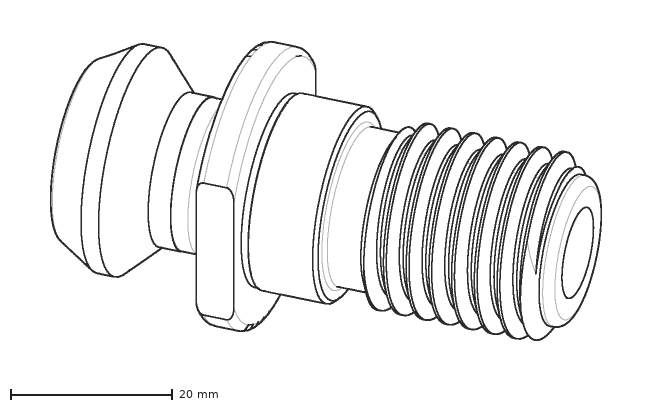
import cadquery as cq
import math

TOTAL_LENGTH = 65.5

HEAD_RADIUS = 14.55
HEAD_FACE_RADIUS = 11.5
HEAD_LEAD_ANGLE = 30.0
HEAD_RIM_ROUND = 0.8
HEAD_LEAD_END = (HEAD_RADIUS - HEAD_FACE_RADIUS) / math.tan(math.radians(HEAD_LEAD_ANGLE))
HEAD_BACK_START = 7.5
HEAD_BACK_END = 12.4

NECK_RADIUS = 9.8
NECK_RELIEF_RADIUS = 9.75
NECK_RELIEF_START = 15.3

FLANGE_START = 20.55
FLANGE_WIDTH = 5.0
FLANGE_END = FLANGE_START + FLANGE_WIDTH
FLANGE_RADIUS = 18.0
FLANGE_ROUND = 1.0
ACROSS_FLATS = 30.0
NECK_FILLET = 3.0

PILOT_RADIUS = 12.5
PILOT_UNDERCUT_RADIUS = 12.3
PILOT_START = 26.5
PILOT_END = 35.55
PILOT_CHAMFER = 0.5

MAJOR_RADIUS = 12.0
PITCHES_PER_DIAMETER = 8
PITCH = 2 * MAJOR_RADIUS / PITCHES_PER_DIAMETER
MINOR_RADIUS = 10.15
RELIEF_FILLET = 0.5
THREAD_START = 40.55
THREAD_START_ANGLE = 60.0
THREAD_END_ANGLE = 56.0
CREST_FLAT = PITCH / 8
FLANK_ANGLE = 30.0
CREST_AT_BOTTOM = 39.2
RIDGE_OVERLAP = 0.2

TIP_RADIUS = 9.6
TIP_START = 63.85
TIP_ROUND = 1.2

BORE_RADIUS = 5.75
BORE_CHAMFER = 1.0


def disc(start, end, radius):
    return cq.Workplane("YZ", origin=(start, 0, 0)).circle(radius).extrude(end - start)


def turned(points):
    """Solid of revolution about X from (x, radius) points; the axis closes it."""
    return cq.Workplane("XY").polyline(points).close().revolve(360, (0, 0, 0), (1, 0, 0))


def make_head():
    head = turned([
        (0, 0),
        (0, HEAD_FACE_RADIUS),
        (HEAD_LEAD_END, HEAD_RADIUS),
        (HEAD_BACK_START, HEAD_RADIUS),
        (HEAD_BACK_END, NECK_RADIUS),
        (HEAD_BACK_END, 0),
    ])
    return head.faces("<X").edges().fillet(HEAD_RIM_ROUND)


def make_neck():
    fillet_start = FLANGE_START - NECK_FILLET
    fillet_top = NECK_RELIEF_RADIUS + NECK_FILLET
    arc_offset = NECK_FILLET * math.sqrt(0.5)
    arc_middle = (fillet_start + arc_offset, fillet_top - arc_offset)
    return (
        cq.Workplane("XY")
        .moveTo(HEAD_BACK_END, 0)
        .lineTo(HEAD_BACK_END, NECK_RADIUS)
        .lineTo(NECK_RELIEF_START, NECK_RADIUS)
        .lineTo(NECK_RELIEF_START, NECK_RELIEF_RADIUS)
        .lineTo(fillet_start, NECK_RELIEF_RADIUS)
        .threePointArc(arc_middle, (FLANGE_START, fillet_top))
        .lineTo(FLANGE_START, 0)
        .close()
        .revolve(360, (0, 0, 0), (1, 0, 0))
    )


def make_flange():
    flange = disc(FLANGE_START, FLANGE_END, FLANGE_RADIUS)
    flange = flange.faces("<X or >X").edges().fillet(FLANGE_ROUND)
    flats = cq.Workplane("XY").box(2 * TOTAL_LENGTH, ACROSS_FLATS, 2 * FLANGE_RADIUS)
    return flange.intersect(flats)


def make_pilot():
    undercut = disc(FLANGE_END, PILOT_START, PILOT_UNDERCUT_RADIUS)
    pilot = disc(PILOT_START, PILOT_END, PILOT_RADIUS)
    pilot = pilot.faces(">X").edges().chamfer(PILOT_CHAMFER)
    return undercut.union(pilot)


def make_core():
    """Plain thread core with a fillet where it meets the pilot; its seam lies in the XZ plane."""
    arc_offset = RELIEF_FILLET * (1 - math.sqrt(0.5))
    arc_middle = (PILOT_END + arc_offset, MINOR_RADIUS + arc_offset)
    return (
        cq.Workplane("XZ")
        .moveTo(PILOT_END, 0)
        .lineTo(PILOT_END, MINOR_RADIUS + RELIEF_FILLET)
        .threePointArc(arc_middle, (PILOT_END + RELIEF_FILLET, MINOR_RADIUS))
        .lineTo(TOTAL_LENGTH, MINOR_RADIUS)
        .lineTo(TOTAL_LENGTH, 0)
        .close()
        .revolve(360, (0, 0, 0), (1, 0, 0))
    )


def make_ridge():
    """Right-handed thread ridge that starts on a cone and sinks slightly into the core."""
    root_radius = MINOR_RADIUS - RIDGE_OVERLAP
    half_crest = CREST_FLAT / 2
    half_root = half_crest + (MAJOR_RADIUS - root_radius) * math.tan(math.radians(FLANK_ANGLE))
    turns = math.ceil((TOTAL_LENGTH - CREST_AT_BOTTOM) / PITCH)
    helix = cq.Wire.makeHelix(PITCH, turns * PITCH, root_radius)
    ridge = (
        cq.Workplane("XZ")
        .polyline([
            (root_radius, -half_root),
            (MAJOR_RADIUS, -half_crest),
            (MAJOR_RADIUS, half_crest),
            (root_radius, half_root),
        ])
        .close()
        .sweep(cq.Workplane(obj=helix), isFrenet=True)
        .rotate((0, 0, 0), (0, 1, 0), 90)
        .translate((CREST_AT_BOTTOM, 0, 0))
    )
    cone_slope = math.tan(math.radians(THREAD_START_ANGLE))
    cone_tip = THREAD_START - MINOR_RADIUS / cone_slope
    start_cone = turned([
        (cone_tip, 0),
        (cone_tip + PILOT_RADIUS / cone_slope, PILOT_RADIUS),
        (TOTAL_LENGTH, PILOT_RADIUS),
        (TOTAL_LENGTH, 0),
    ])
    return ridge.intersect(start_cone)


def make_shank():
    """Threaded core trimmed by the end cone and the rounded plain tip."""
    end_cone_length = (PILOT_RADIUS - TIP_RADIUS) / math.tan(math.radians(THREAD_END_ANGLE))
    trim = turned([
        (PILOT_END, 0),
        (PILOT_END, PILOT_RADIUS),
        (TIP_START - end_cone_length, PILOT_RADIUS),
        (TIP_START, TIP_RADIUS),
        (TOTAL_LENGTH, TIP_RADIUS),
        (TOTAL_LENGTH, 0),
    ])
    trim = trim.faces(">X").edges().fillet(TIP_ROUND)
    return make_core().union(make_ridge()).intersect(trim)


def make_bore():
    bore = disc(0, TOTAL_LENGTH, BORE_RADIUS)
    mouth = turned([
        (0, 0),
        (0, BORE_RADIUS + BORE_CHAMFER),
        (BORE_CHAMFER, BORE_RADIUS),
        (BORE_CHAMFER, 0),
    ])
    return bore.union(mouth)


body = make_head().union(make_neck()).union(make_flange()).union(make_pilot())
result = body.union(make_shank()).cut(make_bore())